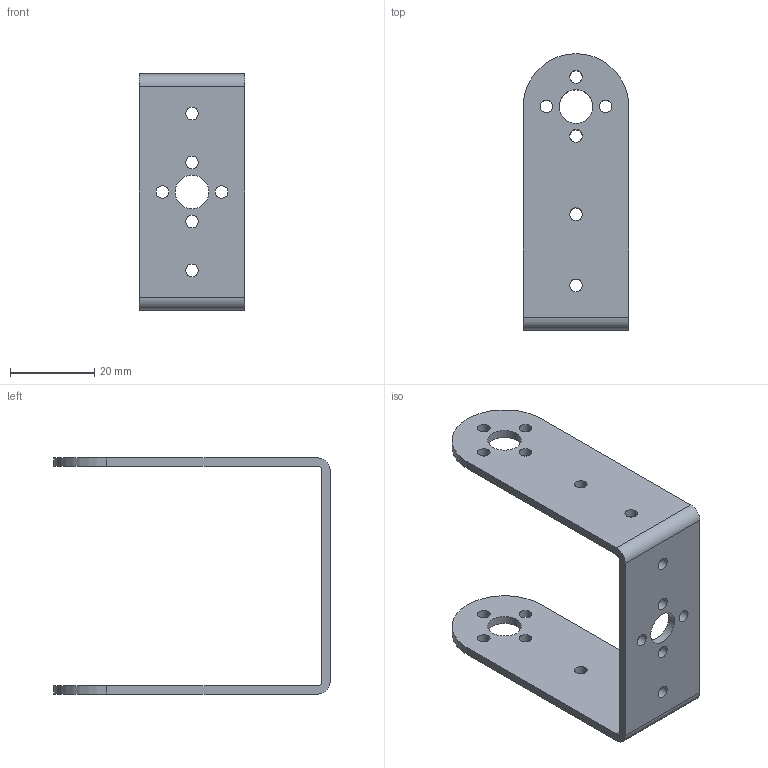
import cadquery as cq

width = 25.0
depth = 65.5
height = 56.0
thickness = 2.0
bend_inner_radius = 1.0
bend_outer_radius = bend_inner_radius + thickness

horn_hole_diameter = 8.0
screw_hole_diameter = 3.0
horn_screw_offset = 7.0

arm_end_radius = width / 2
arm_horn_y = depth - arm_end_radius

web_screw_offset = 18.58
arm_screw_positions = (10.55, 27.45)


def rounded_block(block_height, front_y, bend_radius):
    """Block from front_y to the arm tips, its two front X edges rounded."""
    block = cq.Workplane("XY").box(width, depth - front_y, block_height, centered=(True, False, True))
    return block.edges("|X and <Y").fillet(bend_radius).translate((0, front_y, 0))


def bent_strip():
    """Square-ended sheet strip folded into a U that opens towards +Y."""
    outside = rounded_block(height, 0, bend_outer_radius)
    inside = rounded_block(height - 2 * thickness, thickness, bend_inner_radius)
    return outside.cut(inside)


def arm_outline():
    """Full-height prism of the arm shape: straight sides and a half-round end."""
    half_width = width / 2
    return (
        cq.Workplane("XY")
        .moveTo(-half_width, 0)
        .lineTo(half_width, 0)
        .lineTo(half_width, arm_horn_y)
        .threePointArc((0, depth), (-half_width, arm_horn_y))
        .close()
        .extrude(height / 2, both=True)
    )


def hole_pins(plane, points, diameter, reach):
    """Cylinders extending by reach to both sides of the named plane."""
    return cq.Workplane(plane).pushPoints(points).circle(diameter / 2).extrude(reach, both=True)


def drill(body, plane, horn_position, single_screws, reach):
    """Cut a horn pattern and single screw holes (in-plane second coordinates)."""
    offset = horn_screw_offset
    screws = [
        (offset, horn_position),
        (-offset, horn_position),
        (0, horn_position + offset),
        (0, horn_position - offset),
    ]
    screws += [(0, position) for position in single_screws]
    body = body.cut(hole_pins(plane, [(0, horn_position)], horn_hole_diameter, reach))
    return body.cut(hole_pins(plane, screws, screw_hole_diameter, reach))


bracket = bent_strip().intersect(arm_outline())

bracket = drill(bracket, "XY", arm_horn_y, arm_screw_positions, height)

bracket = drill(bracket, "XZ", 0, (-web_screw_offset, web_screw_offset), depth)

result = bracket